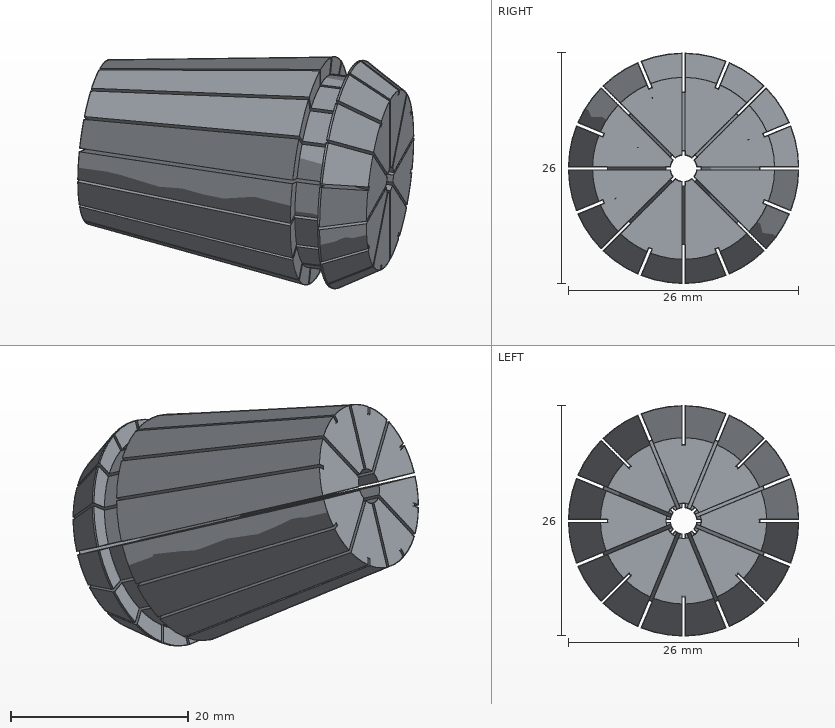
import cadquery as cq
import math


length = 34.0
outer_radius = 26.0 / 2
nose_radius = 9.4
taper_end = 25.85
neck_radius = 11.0
head_start = 29.05
head_land = 0.25
head_angle = 30.0
bore_radius = 1.5

slots_per_end = 8
slot_pitch = 360.0 / slots_per_end
head_slot_width = 0.35
nose_slot_width = 0.4
clearance = 1.7
slot_top = outer_radius + clearance

head_slot_floor_start = 8.35
head_slot_nose_radius = 8.6
head_saw_radius = 20.0

nose_slot_floor_start = 19.05
nose_slot_head_radius = 9.8
nose_saw_radius = 40.0

relief_radius = 1.97
relief_depth = head_slot_floor_start


def collet_body():
    head_end_radius = outer_radius - (length - head_start - head_land) * math.tan(math.radians(head_angle))
    outline = [
        (relief_depth, bore_radius),
        (relief_depth, relief_radius),
        (0, relief_radius),
        (0, nose_radius),
        (taper_end, outer_radius),
        (taper_end, neck_radius),
        (head_start, neck_radius),
        (head_start, outer_radius),
        (head_start + head_land, outer_radius),
        (length, head_end_radius),
        (length, bore_radius),
    ]
    return cq.Workplane("XY").polyline(outline).close().revolve(360, (0, 0, 0), (1, 0, 0))


def saw_floor_middle(inner, outer, saw_radius):
    """Middle point of the saw arc joining two (x, radius) points, bulging toward the axis."""
    run = outer[0] - inner[0]
    rise = outer[1] - inner[1]
    chord = math.hypot(run, rise)
    sagitta = saw_radius - math.sqrt(saw_radius**2 - (chord / 2) ** 2)
    toward_axis = -math.copysign(sagitta / chord, run)
    middle_x = (inner[0] + outer[0]) / 2 - rise * toward_axis
    middle_radius = (inner[1] + outer[1]) / 2 + run * toward_axis
    return middle_x, middle_radius


def saw_slot(inner, outer, saw_radius, open_x, width):
    """Slot above the axis with a curved floor from inner to outer, open at the end open_x."""
    return (
        cq.Workplane("XZ")
        .moveTo(inner[0], 0)
        .lineTo(*inner)
        .threePointArc(saw_floor_middle(inner, outer, saw_radius), outer)
        .lineTo(outer[0], slot_top)
        .lineTo(open_x, slot_top)
        .lineTo(open_x, 0)
        .close()
        .extrude(width / 2, both=True)
    )


def cut_around(body, cutter, first_angle):
    for index in range(slots_per_end):
        angle = first_angle + index * slot_pitch
        body = body.cut(cutter.rotate((0, 0, 0), (1, 0, 0), angle))
    return body


head_slot = saw_slot(
    inner=(head_slot_floor_start, relief_radius),
    outer=(0, head_slot_nose_radius),
    saw_radius=head_saw_radius,
    open_x=length + clearance,
    width=head_slot_width,
)
nose_slot = saw_slot(
    inner=(nose_slot_floor_start, bore_radius),
    outer=(length, nose_slot_head_radius),
    saw_radius=nose_saw_radius,
    open_x=-clearance,
    width=nose_slot_width,
)

result = collet_body()
result = cut_around(result, head_slot, 0)
result = cut_around(result, nose_slot, slot_pitch / 2)